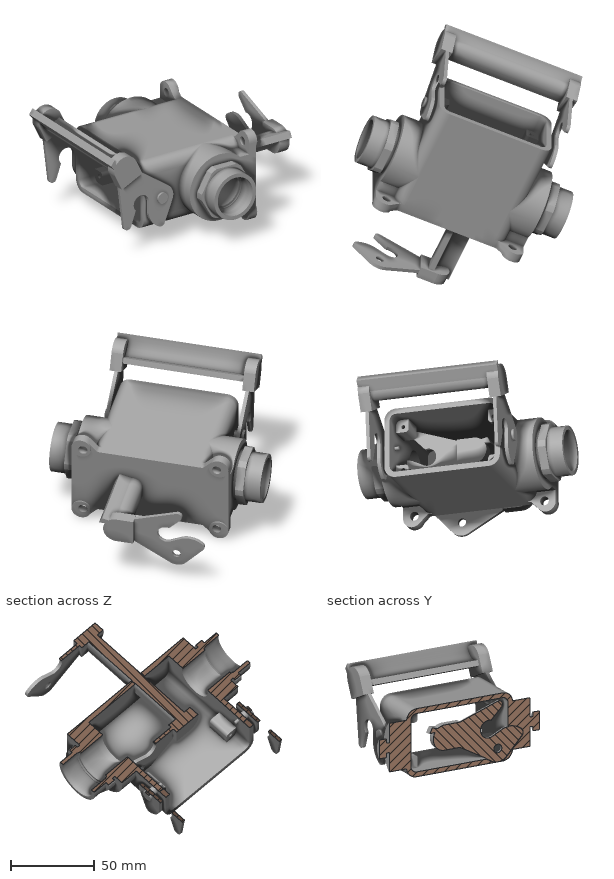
import cadquery as cq
import math


hood_width = 73.1
hood_height = 43.4
hood_corner_radius = 7.0
wall = 3.4
front_y = -47.0
back_y = 26.0
collar_length = 5.4
seam_y = front_y + collar_length
cavity_width = hood_width - 2 * wall
cavity_height = hood_height - 2 * wall
cavity_corner_radius = hood_corner_radius - wall

flange_thickness = 5.0
flange_front_y = back_y - flange_thickness
lug_radius = 6.0
lug_blend_radius = 2.2
lug_x = 42.4
lug_z = 23.2
lug_pad_height = 0.9
lug_hole_diameter = 5.5
lug_hole_x = 41.2
lug_hole_z = 22.3

boss_diameter = hood_height
boss_end_x = lug_x + lug_radius
boss_web_height = 32.3
neck_diameter = 31.0
hex_start_x = 50.1
hex_end_x = 55.2
hex_flats = 32.3
hex_round_diameter = 35.3
tube_diameter = 30.0
tube_end_x = 65.0
tube_bore_diameter = 25.0
step_bore_diameter = 24.2
inner_bore_diameter = 21.9
tube_bore_floor_x = 53.0
step_bore_floor_x = 51.9

post_size = 8.0
post_corner_radius = 2.2
post_recess = 11.4
post_length = 14.5
post_hole_diameter = 2.5
post_hole_inset = 4.7
post_hole_depth = 8.7

pivot_y = -37.3
pin_diameter = 5.1
pin_head_diameter = 7.0
pin_head_thickness = 1.5
pin_stub_diameter = 2.0
pin_stub_length = 2.6

lever_width = 88.9
plate_inset = 2.9
plate_thickness = 2.2
block_length = 7.1
block_half_width = 8.2
block_straight = 11.2
block_reach = 18.5
pivot_lobe_radius = 8.3
hook_center = (14.7, -0.1)
hook_radius = 5.4
grip_origin = (23.2, 17.6)
grip_angle = 64.0
bar_offset = 5.0
bar_bend_radius = 6.0
bar_thickness = 3.5
bar_leg_length = 6.1
plate_outer_x = lever_width / 2 - plate_inset

rear_grip_x = -0.3
rear_lever_y = 25.6


def x_cylinder(diameter, start_x, end_x, y=0.0):
    """Cylinder along X between two X positions, on the Z = 0 plane."""
    plane = cq.Plane(origin=(start_x, y, 0), xDir=(0, 1, 0), normal=(1, 0, 0))
    return cq.Workplane(plane).circle(diameter / 2).extrude(end_x - start_x)


def xz_plane_at(y):
    """Sketch plane at a Y position; extruding goes toward +Y and the sketch axes are X and -Z."""
    return cq.Workplane(cq.Plane(origin=(0, y, 0), xDir=(1, 0, 0), normal=(0, 1, 0)))


def rounded_block(width, height, radius, start_y, end_y):
    """Block centred on the Y axis with its four Y edges rounded."""
    block = xz_plane_at(start_y).rect(width, height).extrude(end_y - start_y)
    return block.edges("|Y").fillet(radius)


def mirrored_x(shape):
    """The shape together with its mirror image across X = 0."""
    return shape.union(shape.mirror("YZ"))


def make_collar():
    """Frame around the open front of the hood."""
    outer = rounded_block(hood_width, hood_height, hood_corner_radius, front_y, seam_y)
    return outer.cut(rounded_block(cavity_width, cavity_height, cavity_corner_radius, front_y, seam_y))


def make_flange():
    """Back plate with a rounded, padded and drilled mounting lug at each corner."""
    half_height = hood_height / 2
    diagonal = lug_radius * math.sqrt(0.5)
    tangent_x = lug_x - diagonal
    tangent_z = lug_z + diagonal
    slope_end_x = tangent_x - (tangent_z - half_height)
    blend_length = lug_blend_radius * math.tan(math.radians(22.5))
    blend_rise = blend_length * math.sqrt(0.5)
    quarter = (
        xz_plane_at(flange_front_y)
        .lineTo(boss_end_x, 0)
        .lineTo(boss_end_x, lug_z)
        .threePointArc((lug_x + diagonal, tangent_z), (tangent_x, tangent_z))
        .lineTo(slope_end_x + blend_rise, half_height + blend_rise)
        .tangentArcPoint((slope_end_x - blend_length, half_height), relative=False)
        .lineTo(0, half_height)
        .close()
        .extrude(flange_thickness)
    )
    pad = xz_plane_at(back_y).center(lug_x, lug_z).circle(lug_radius).extrude(lug_pad_height)
    hole = (
        xz_plane_at(flange_front_y)
        .center(lug_hole_x, lug_hole_z)
        .circle(lug_hole_diameter / 2)
        .extrude(flange_thickness + lug_pad_height)
    )
    quarter = quarter.union(pad).cut(hole)
    return mirrored_x(quarter.union(quarter.mirror("XY")))


def make_right_gland():
    """Side boss webbed to the flange, carrying a hexagonal gland with a tube."""
    boss = x_cylinder(boss_diameter, 0, boss_end_x)
    web = cq.Workplane("XY").box(boss_end_x, flange_front_y, boss_web_height, centered=(False, False, True))
    neck = x_cylinder(neck_diameter, boss_end_x, hex_start_x)
    hex_plane = cq.Plane(origin=(hex_start_x, 0, 0), xDir=(0, 0, 1), normal=(1, 0, 0))
    hexagon = (
        cq.Workplane(hex_plane)
        .polygon(6, hex_flats, circumscribed=True)
        .extrude(hex_end_x - hex_start_x)
        .intersect(x_cylinder(hex_round_diameter, hex_start_x, hex_end_x))
    )
    tube = x_cylinder(tube_diameter, hex_end_x, tube_end_x)
    return boss.union(web).union(neck).union(hexagon).union(tube)


def make_gland_bores():
    """Stepped cable passage through both glands into the cavity."""
    inner = x_cylinder(inner_bore_diameter, 0, tube_end_x)
    step = x_cylinder(step_bore_diameter, step_bore_floor_x, tube_end_x)
    outer = x_cylinder(tube_bore_diameter, tube_bore_floor_x, tube_end_x)
    return mirrored_x(inner.union(step).union(outer))


def make_posts():
    """Screw posts, each with a blind hole, in the four corners of the cavity."""
    post_front_y = front_y + post_recess
    post = (
        xz_plane_at(post_front_y)
        .rect(post_size, post_size)
        .extrude(post_length)
        .translate(((cavity_width - post_size) / 2, 0, (cavity_height - post_size) / 2))
        .edges("|Y and <X and <Z")
        .fillet(post_corner_radius)
    )
    hole = (
        xz_plane_at(post_front_y)
        .circle(post_hole_diameter / 2)
        .extrude(post_hole_depth)
        .translate((cavity_width / 2 - post_hole_inset, 0, cavity_height / 2 - post_hole_inset))
    )
    right_posts = post.cut(hole)
    right_posts = right_posts.union(right_posts.mirror("XY"))
    inside = rounded_block(cavity_width, cavity_height, cavity_corner_radius, seam_y, back_y)
    return mirrored_x(right_posts).intersect(inside)


def make_pins():
    """Headed pivot pins on both sides, each ending in a short stub inside the cavity."""
    stub = x_cylinder(pin_stub_diameter, cavity_width / 2 - pin_stub_length, hood_width / 2, pivot_y)
    shaft = x_cylinder(pin_diameter, hood_width / 2, plate_outer_x, pivot_y)
    head = x_cylinder(pin_head_diameter, plate_outer_x, plate_outer_x + pin_head_thickness, pivot_y)
    return mirrored_x(stub.union(shaft).union(head))


def make_housing(passing_lever):
    """Hood with flange, glands, posts and pins, opened where a lever passes through it."""
    hood = rounded_block(hood_width, hood_height, hood_corner_radius, seam_y, back_y)
    right_gland = make_right_gland()
    hood = hood.union(right_gland).union(right_gland.mirror("YZ")).union(make_flange())
    cavity = rounded_block(cavity_width, cavity_height, cavity_corner_radius, seam_y, back_y - wall)
    hood = hood.cut(cavity).cut(make_gland_bores())
    hood = hood.union(make_posts()).union(make_pins())
    return hood.cut(passing_lever)


def from_grip(along, across):
    """Lever-plane point for a position along and to the right of the grip axis."""
    angle = math.radians(grip_angle)
    return (
        grip_origin[0] + along * math.cos(angle) + across * math.sin(angle),
        grip_origin[1] + along * math.sin(angle) - across * math.cos(angle),
    )


def centered_slab(outline, width):
    """Extrude a closed outline evenly to both sides of the lever plane."""
    return outline.extrude(width / 2, both=True)


def lever_plate_outline(sketch):
    """Side plate: pivot lobe, round hook notch and hook arm, below the end block."""
    return (
        sketch.moveTo(*from_grip(0, -block_half_width))
        .lineTo(-4.8, 6.77)
        .threePointArc((-pivot_lobe_radius, 0), (-7.7, -2.9))
        .lineTo(-2.0, -17.5)
        .threePointArc((-0.5, -18.8), (1.7, -18.6))
        .threePointArc((7.3, -14.0), (9.3, -8.5))
        .lineTo(hook_center[0] - hook_radius, hook_center[1])
        .threePointArc((hook_center[0], hook_center[1] + hook_radius), (18.6, -4.0))
        .lineTo(21.9, -13.1)
        .threePointArc((24.5, -15.3), (27.1, -13.5))
        .lineTo(*from_grip(0, block_half_width))
        .close()
    )


def lever_block_outline(sketch):
    """End block: flat sides and a round end."""
    return (
        sketch.moveTo(*from_grip(0, -block_half_width))
        .lineTo(*from_grip(block_straight, -block_half_width))
        .threePointArc(from_grip(block_reach, 0), from_grip(block_straight, block_half_width))
        .lineTo(*from_grip(0, block_half_width))
        .close()
    )


def lever_bar_outline(sketch):
    """Grip bar: bent strip with a straight leg and a sloped lip."""
    bend_along = bar_offset + bar_bend_radius
    bend_half = bar_bend_radius * math.sqrt(0.5)
    leg_inner = bar_offset + bar_thickness
    return (
        sketch.moveTo(*from_grip(bar_offset, -bar_leg_length))
        .lineTo(*from_grip(bar_offset, 0))
        .threePointArc(
            from_grip(bend_along - bend_half, bend_half),
            from_grip(bend_along, bar_bend_radius),
        )
        .lineTo(*from_grip(11.8, bar_bend_radius))
        .lineTo(*from_grip(19.1, 7.6))
        .lineTo(*from_grip(21.1, 3.8))
        .threePointArc(from_grip(13.5, 3.2), from_grip(leg_inner, -1.0))
        .lineTo(*from_grip(leg_inner, -bar_leg_length))
        .close()
    )


def make_lever(plane):
    """Lever whose pivot is at the plane's origin; it is symmetric about the plane."""
    sketch = cq.Workplane(plane)
    plate_span = lever_width - 2 * plate_inset
    plates = centered_slab(lever_plate_outline(sketch), plate_span)
    plates = plates.cut(centered_slab(sketch.rect(144.2, 144.2), plate_span - 2 * plate_thickness))
    plates = plates.cut(centered_slab(sketch.circle(pin_diameter / 2), plate_span))
    blocks = centered_slab(lever_block_outline(sketch), lever_width)
    blocks = blocks.cut(centered_slab(sketch.rect(144.2, 144.2), lever_width - 2 * block_length))
    bar = centered_slab(lever_bar_outline(sketch), lever_width)
    return bar.union(blocks).union(plates)


def make_front_lever():
    """Lever hinged on the pivot pins."""
    return make_lever(cq.Plane(origin=(0, pivot_y, 0), xDir=(0, -1, 0), normal=(-1, 0, 0)))


def make_rear_lever():
    """Lever lying along Y through the back of the hood, with its grip axis along +X."""
    angle = math.radians(grip_angle)
    a_dir = cq.Vector(math.cos(angle), 0, math.sin(angle))
    b_dir = cq.Vector(math.sin(angle), 0, -math.cos(angle))
    grip_point = cq.Vector(rear_grip_x, rear_lever_y, 0)
    pivot = grip_point - a_dir * grip_origin[0] - b_dir * grip_origin[1]
    return make_lever(cq.Plane(origin=pivot, xDir=a_dir, normal=(0, 1, 0)))


front_lever = make_front_lever()
rear_lever = make_rear_lever()
collar = make_collar()
housing = make_housing(rear_lever)

result = cq.Compound.makeCompound([body.solids().val() for body in (housing, collar, front_lever, rear_lever)])